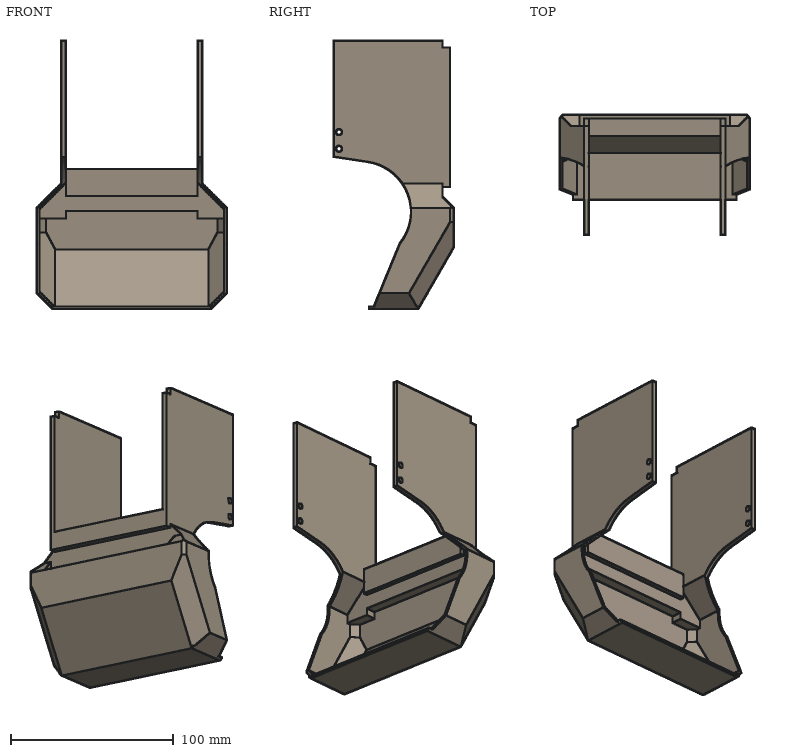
import cadquery as cq
import math

total_height = 165.2
total_depth = 74.0
half_width = 58.5
margin = 33.0

plate_inner_x = 40.5
plate_thickness = 3.0
plate_outer_x = plate_inner_x + plate_thickness
plate_back_y = -2.3
plate_bottom_z = 75.0
top_notch_height = 4.1
hole_diameter = 3.5
hole_y = -70.7
hole_heights = (98.6, 108.9)

side_wall = 1.7
floor_thickness = 1.7
corner = 9.7
inner_corner_depth = 9.1
slope = math.radians(60)
slope_foot_y = -22.0
slope_wall = 2.3
back_wall = 3.5
facet_width = 2.0
inner_facet_width = 4.1
lip_front_y = -52.4

shoulder_z = 62.1
shoulder_top_z = shoulder_z + half_width - plate_outer_x
rear_step_y = -7.0
rear_recess_half_width = 46.3
band_front_y = -10.4
band_bottom_z = 55.8
band_middle_bottom_z = 60.5
block_front_y = -13.2
block_bottom_z = 69.7
block_top_z = 86.2

edge_foot = (-49.2, floor_thickness)
throat_start = (-33.4, 40.3)
throat_middle = (-26.5, 59.5)
throat_end = (-53.4, 90.5)
plate_front_z = 93.7


def box(x0, x1, y0, y1, z0, z1):
    return cq.Workplane("XY").box(x1 - x0, y1 - y0, z1 - z0, centered=False).translate((x0, y0, z0))


def along_x(half_length, points):
    """Extrude a closed (Y, Z) outline symmetrically about X = 0."""
    return cq.Workplane("YZ").polyline(points).close().extrude(half_length, both=True)


def along_y(right_points):
    """Extrude an outline mirrored about X = 0, given by its (X, Z) points on the +X side."""
    left_points = [(-x, z) for x, z in reversed(right_points)]
    outline = cq.Workplane("XZ").polyline(right_points + left_points).close()
    return outline.extrude(total_depth + margin, both=True)


def cornered_prism(direction, origin_y, half, corner_x, corner_depth):
    """Long prism whose back face has beveled corners, running along the given direction."""
    plane = cq.Plane(origin=(0, origin_y, 0), xDir=(1, 0, 0), normal=direction)
    points = [
        (half, -2 * total_height),
        (half, -corner_depth),
        (half - corner_x, 0),
        (corner_x - half, 0),
        (-half, -corner_depth),
        (-half, -2 * total_height),
    ]
    return cq.Workplane(plane).polyline(points).close().extrude(2 * total_height, both=True)


def back_prism(back_y, foot_y, half, facet, corner_depth):
    """Space in front of the upright and sloping back faces, with all their corner bevels."""
    facet_depth = facet * corner_depth / (corner * math.sin(slope))
    upright = cornered_prism((0, 0, 1), back_y, half, facet, facet_depth)
    slope_direction = (0, math.cos(slope), math.sin(slope))
    return upright.intersect(cornered_prism(slope_direction, foot_y, half, corner, corner_depth))


def make_tray():
    body = along_y([
        (half_width - corner, 0),
        (half_width, corner),
        (half_width, shoulder_z),
        (plate_outer_x, shoulder_top_z),
    ]).intersect(back_prism(0, slope_foot_y, half_width, facet_width, corner))
    side = along_x(half_width, [
        (-total_depth, 0),
        (0, 0),
        (0, shoulder_z),
        (rear_step_y, shoulder_z - rear_step_y),
        (rear_step_y, shoulder_top_z),
        (-total_depth, shoulder_top_z),
    ])
    rear_recess = box(-rear_recess_half_width, rear_recess_half_width,
                      rear_step_y, 0, shoulder_z, shoulder_top_z)
    return body.intersect(side).cut(rear_recess)


def make_cavity():
    inner_half = half_width - side_wall
    bend = side_wall * math.tan(math.radians(22.5))
    shoulder_inner_z = shoulder_z - bend
    shoulder_inner_top_z = shoulder_inner_z + inner_half - plate_inner_x
    front = along_y([
        (inner_half - corner + bend, floor_thickness),
        (inner_half, floor_thickness + corner - bend),
        (inner_half, shoulder_inner_z),
        (plate_inner_x, shoulder_inner_top_z),
    ])
    inner_foot_y = slope_foot_y - slope_wall / math.sin(slope)
    back = back_prism(-back_wall, inner_foot_y, inner_half, inner_facet_width, inner_corner_depth)
    space = front.intersect(back)
    below_band = along_x(half_width, [
        (-total_depth, 0),
        (0, 0),
        (0, band_bottom_z),
        (band_front_y, band_bottom_z),
        (band_front_y, total_height),
        (-total_depth, total_height),
    ])
    band_relief = box(-plate_inner_x, plate_inner_x, band_front_y, -back_wall,
                      band_bottom_z, band_middle_bottom_z)
    return space.intersect(below_band).union(band_relief)


def make_front_clearance():
    """Everything ahead of the front edges of the side walls."""
    front_y = -total_depth - margin
    edge_slope = (throat_start[0] - edge_foot[0]) / (throat_start[1] - edge_foot[1])
    return (
        cq.Workplane("YZ")
        .moveTo(edge_foot[0] - edge_slope * edge_foot[1], 0)
        .lineTo(*throat_start)
        .threePointArc(throat_middle, throat_end)
        .lineTo(-total_depth, plate_front_z)
        .lineTo(front_y, plate_front_z)
        .lineTo(front_y, 0)
        .close()
        .extrude(half_width + margin, both=True)
    )


def make_plate(inner_x):
    plate = box(inner_x, inner_x + plate_thickness, -total_depth, plate_back_y,
                plate_bottom_z, total_height)
    top_notch = box(inner_x, inner_x + plate_thickness, rear_step_y, plate_back_y,
                    total_height - top_notch_height, total_height)
    return plate.cut(top_notch)


def make_holes():
    centers = [(hole_y, z) for z in hole_heights]
    return (
        cq.Workplane("YZ")
        .pushPoints(centers)
        .circle(hole_diameter / 2)
        .extrude(half_width, both=True)
    )


def make_crossbar():
    return along_x(plate_inner_x, [
        (rear_step_y, block_bottom_z),
        (block_front_y, block_bottom_z),
        (block_front_y, block_top_z),
        (plate_back_y, block_top_z),
        (plate_back_y, plate_bottom_z),
        (rear_step_y, plate_bottom_z),
    ])


def make_lip():
    return along_y([
        (half_width - corner, 0),
        (half_width - corner + floor_thickness, floor_thickness),
    ]).intersect(box(-half_width, half_width, lip_front_y, slope_foot_y, 0, floor_thickness))


result = make_tray()
for plate_x in (plate_inner_x, -plate_outer_x):
    result = result.union(make_plate(plate_x))
result = result.cut(make_cavity()).cut(make_front_clearance()).cut(make_holes())
result = result.union(make_crossbar()).union(make_lip())